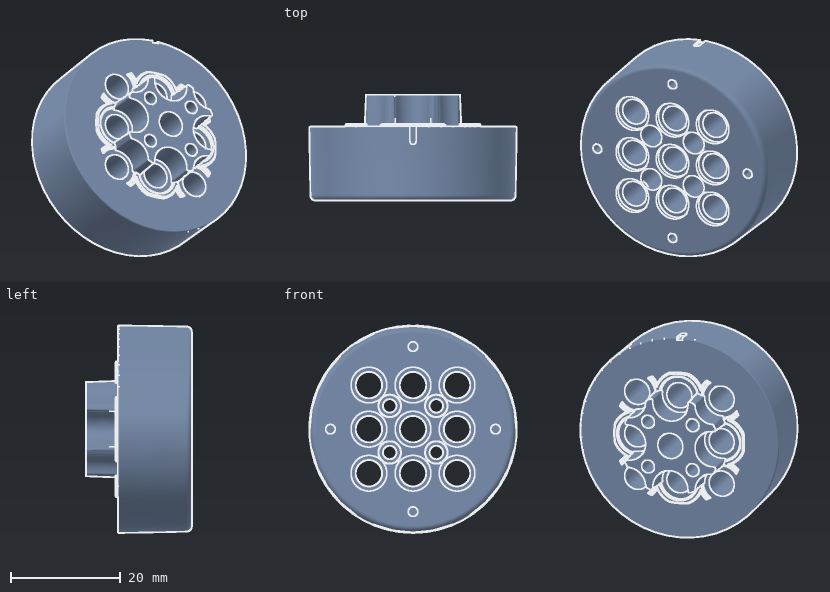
import cadquery as cq
import math

wall_draft = math.tan(math.radians(1.0))
hub_draft = math.tan(math.radians(1.5))

rim_radius = 18.9
body_depth = 13.5
front_radius = rim_radius - body_depth * wall_draft
front_fillet = 1.02
rim_fillet = 0.25

pitch = 8.02
hole_radius = 2.4
hole_recess_radius = 3.25
hole_recess_depth = 1.0

screw_offset = 4.25
screw_radius = 1.2
head_radius_front = 2.08
head_radius_floor = 2.0
head_depth = 7.55

pin_circle_radius = 15.0
pin_radius = 0.87
pin_depth = 3.03

key_width = 1.1
key_length = 3.25
key_depth = 0.5

pad_height = 0.5
pad_radius = 12.37
pad_side_lobe_radius = 4.58
pad_corner_lobe_radius = 4.3
pad_scallop_radius = 3.5
pad_chamfer = 0.23

total_depth = 19.3
hub_height = total_depth - body_depth
hub_tip_radius = 9.4
hub_base_radius = hub_tip_radius + hub_height * hub_draft
scallop_tip_radius = 3.33
scallop_base_radius = scallop_tip_radius - hub_height * wall_draft
hub_corner_fillet = 0.38

grid = [(i * pitch, k * pitch) for i in (-1, 0, 1) for k in (-1, 0, 1)]
side_grid = [(x, z) for x, z in grid if (x == 0) != (z == 0)]
corner_grid = [(x, z) for x, z in grid if x != 0 and z != 0]
screw_points = [(i * screw_offset, k * screw_offset) for i in (-1, 1) for k in (-1, 1)]
pin_points = [
    (pin_circle_radius, 0),
    (-pin_circle_radius, 0),
    (0, pin_circle_radius),
    (0, -pin_circle_radius),
]


def cylinder(radius, start, length, point=(0, 0)):
    """Cylinder along +Y from Y = start, centred on an (X, Z) point."""
    origin = cq.Vector(point[0], start, point[1])
    return cq.Workplane(cq.Solid.makeCylinder(radius, length, origin, cq.Vector(0, 1, 0)))


def cone(start_radius, end_radius, start, length, point=(0, 0)):
    """Truncated cone along +Y from Y = start, centred on an (X, Z) point."""
    origin = cq.Vector(point[0], start, point[1])
    return cq.Workplane(cq.Solid.makeCone(start_radius, end_radius, length, origin, cq.Vector(0, 1, 0)))


def make_body():
    body = cone(front_radius, rim_radius, 0, body_depth)
    body = body.faces("<Y").edges().fillet(front_fillet)
    return body.faces(">Y").edges().fillet(rim_fillet)


def make_keyway():
    """Round-ended groove, open at the rear of the body."""
    end_radius = key_width / 2
    end_center = body_depth - key_length + end_radius
    floor_z = rim_radius - key_depth
    straight_length = body_depth - end_center
    slot = (
        cq.Workplane("XY", origin=(0, end_center, floor_z))
        .rect(key_width, straight_length, centered=(True, False))
        .extrude(2 * key_depth)
    )
    round_end = cq.Workplane("XY", origin=(0, end_center, floor_z)).circle(end_radius).extrude(2 * key_depth)
    return slot.union(round_end)


def make_pad_disc(radius, edge_step, point=(0, 0)):
    """Disc as thick as the pad whose radius changes by edge_step over the top chamfer."""
    straight_height = pad_height - pad_chamfer
    chamfer_start = body_depth + straight_height
    disc = cylinder(radius, body_depth, straight_height, point)
    return disc.union(cone(radius, radius + edge_step, chamfer_start, pad_chamfer, point))


def make_pad():
    """Ring of round lobes trimmed to a circle, with a clearance bite inside each lobe."""
    pad = cylinder(pitch, body_depth, pad_height)
    for point in side_grid:
        pad = pad.union(make_pad_disc(pad_side_lobe_radius, -pad_chamfer, point))
    for point in corner_grid:
        pad = pad.union(make_pad_disc(pad_corner_lobe_radius, -pad_chamfer, point))
    pad = pad.intersect(make_pad_disc(pad_radius, -pad_chamfer))
    for point in side_grid + corner_grid:
        pad = pad.cut(make_pad_disc(pad_scallop_radius, pad_chamfer, point))
    return pad


def make_hub():
    hub = cone(hub_base_radius, hub_tip_radius, body_depth, hub_height)
    for point in side_grid + corner_grid:
        hub = hub.cut(cone(scallop_base_radius, scallop_tip_radius, body_depth, hub_height, point))
    side_edges = hub.edges("not(<Y or >Y)")
    return side_edges.fillet(hub_corner_fillet)


result = make_body().cut(make_keyway()).union(make_pad()).union(make_hub())

for point in grid:
    result = result.cut(cylinder(hole_radius, 0, total_depth, point))
    result = result.cut(cylinder(hole_recess_radius, 0, hole_recess_depth, point))

for point in screw_points:
    result = result.cut(cylinder(screw_radius, 0, total_depth, point))
    result = result.cut(cone(head_radius_front, head_radius_floor, 0, head_depth, point))

for point in pin_points:
    result = result.cut(cylinder(pin_radius, 0, pin_depth, point))